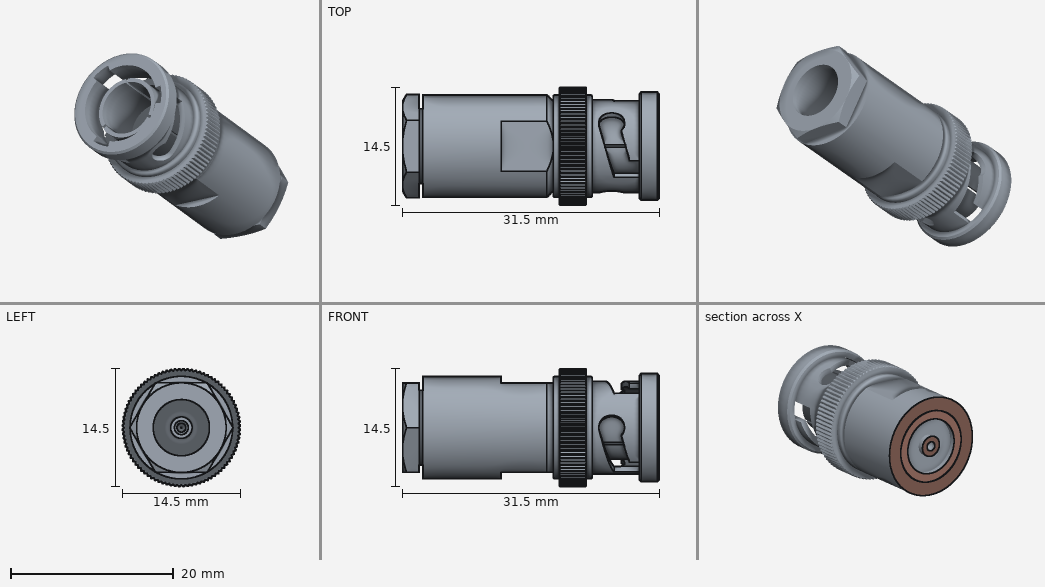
import cadquery as cq
import math

total_length = 31.5

hex_across_flats = 11.0
hex_length = 2.05
hex_chamfer_angle = 30.0
nut_shank_radius = 4.6
nut_bore_radius = 3.46
nut_end = 9.0

body_start = 2.5
body_end = 18.47
body_radius = 6.3
body_chamfer = 0.75
flat_start = 12.1
flat_distance = hex_across_flats / 2
flat_angles = [0, 180]
spigot_end = 22.5

cup_radius = 1.32
cup_start = 7.5
cup_mouth_radius = 0.85
cup_hole_radius = 0.55
cup_depth = 1.2
drill_point_angle = 118.0

tube_radius = 3.9
tube_bore_radius = 3.4
tube_end = 29.95
slit_width = 0.33
slit_start = 23.0
slit_angles = [90, 210, 330]

sleeve_radius = 5.72
sleeve_bore_radius = 5.0
collar_start = body_end
collar_end = 23.3
collar_radius = body_radius
collar_fillet = 0.3
rim_start = 29.05
rim_radius = 6.65
rim_chamfer = 0.25

knurl_start = 19.24
knurl_end = 22.55
knurl_radius = 7.25
knurl_chamfer = 0.12
knurl_teeth = 88
knurl_depth = 0.22
knurl_crest_share = 0.15

seat_angles = [60, 180, 300]
seat_x = 25.67
seat_radius = 1.58
slot_width = 2.45
entry_start_angle = 48.0
entry_end_angle = 72.0
ramp_helix_angle = math.radians(15.0)
ramp_rate = math.degrees(1 / (sleeve_radius * math.tan(ramp_helix_angle)))
ramp_left_x = seat_x - seat_radius / math.cos(ramp_helix_angle)
ramp_width = slot_width / math.cos(ramp_helix_angle)
ramp_run_up = 0.2
seat_tangent_angle = math.degrees(seat_radius * math.sin(ramp_helix_angle) / sleeve_radius)
slot_margin = 0.5


def cylinder(radius, start, end):
    """Cylinder on the connector axis between two X positions."""
    return cq.Workplane("YZ", origin=(start, 0, 0)).circle(radius).extrude(end - start)


def turn(shape, angle):
    """Turn a shape about the connector axis, from +Y toward +Z."""
    return shape.rotate((0, 0, 0), (1, 0, 0), angle)


def make_nut():
    corner_radius = flat_distance / math.cos(math.pi / 6)
    cone_slope = math.tan(math.radians(hex_chamfer_angle))
    chamfer_length = (corner_radius - flat_distance) * cone_slope
    hexagon = cq.Workplane("YZ").polygon(6, 2 * corner_radius).extrude(hex_length)
    chamfer_envelope = cylinder(corner_radius, 0, hex_length).faces("<X").chamfer(
        chamfer_length, corner_radius - flat_distance
    )
    head = hexagon.intersect(chamfer_envelope)
    shank = cylinder(nut_shank_radius, hex_length, nut_end)
    return head.union(shank).cut(cylinder(nut_bore_radius, 0, nut_end))


def make_solder_cup():
    mouth_chamfer = cup_mouth_radius - cup_hole_radius
    point_length = cup_hole_radius / math.tan(math.radians(drill_point_angle / 2))
    hole = (
        cq.Workplane("XY")
        .moveTo(cup_start, 0)
        .lineTo(cup_start, cup_mouth_radius)
        .lineTo(cup_start + mouth_chamfer, cup_hole_radius)
        .lineTo(cup_start + cup_depth, cup_hole_radius)
        .lineTo(cup_start + cup_depth + point_length, 0)
        .close()
        .revolve(360, (0, 0, 0), (1, 0, 0))
    )
    return cylinder(cup_radius, cup_start, nut_end).cut(hole)


def make_body():
    barrel = cylinder(body_radius, body_start, body_end).faces(">X").chamfer(body_chamfer)
    flat_cut = (
        cq.Workplane("XY", origin=(flat_start, 0, flat_distance))
        .box(body_end - flat_start, 2 * body_radius, body_radius, centered=(False, True, False))
    )
    for angle in flat_angles:
        barrel = barrel.cut(turn(flat_cut, angle))
    nut_socket = cylinder(nut_shank_radius, body_start, nut_end)
    spigot = cylinder(sleeve_bore_radius, body_end, spigot_end)
    tube = cylinder(tube_radius, spigot_end, tube_end).cut(
        cylinder(tube_bore_radius, spigot_end, tube_end)
    )
    slit = cq.Workplane("XY", origin=(slit_start, 0, 0)).box(
        tube_end - slit_start, 2 * tube_radius, slit_width, centered=(False, False, True)
    )
    for angle in slit_angles:
        tube = tube.cut(turn(slit, angle))
    return barrel.cut(nut_socket).union(make_solder_cup()).union(spigot).union(tube)


def make_knurl():
    pitch = 2 * math.pi / knurl_teeth
    root_radius = knurl_radius - knurl_depth
    half_crest = knurl_crest_share * pitch / 2
    outline = []
    for tooth in range(knurl_teeth):
        root_angle = math.pi / 2 + tooth * pitch
        crest_angle = root_angle + pitch / 2
        for radius, angle in (
            (root_radius, root_angle),
            (knurl_radius, crest_angle - half_crest),
            (knurl_radius, crest_angle + half_crest),
        ):
            outline.append((radius * math.cos(angle), radius * math.sin(angle)))
    teeth = (
        cq.Workplane("YZ", origin=(knurl_start, 0, 0))
        .polyline(outline)
        .close()
        .extrude(knurl_end - knurl_start)
    )
    envelope = cylinder(knurl_radius, knurl_start, knurl_end).edges().chamfer(knurl_chamfer)
    return teeth.intersect(envelope)


def ring_sector(start, margin, first_angle, last_angle):
    """Sketch straddling the sleeve wall; angles are measured from +Y toward +Z."""
    inner_radius = sleeve_bore_radius - margin
    outer_radius = sleeve_radius + margin

    def point(radius, angle):
        return (radius * math.cos(math.radians(angle)), radius * math.sin(math.radians(angle)))

    middle_angle = (first_angle + last_angle) / 2
    return (
        cq.Workplane("YZ", origin=(start, 0, 0))
        .moveTo(*point(inner_radius, first_angle))
        .lineTo(*point(outer_radius, first_angle))
        .threePointArc(point(outer_radius, middle_angle), point(outer_radius, last_angle))
        .lineTo(*point(inner_radius, last_angle))
        .threePointArc(point(inner_radius, middle_angle), point(inner_radius, first_angle))
        .close()
    )


def make_seat():
    """Round lug seat on +Y, its circumferential width shrinking toward the axis."""
    inner_radius = sleeve_bore_radius - slot_margin
    outer_radius = sleeve_radius + slot_margin
    return (
        cq.Workplane("XZ", origin=(seat_x, inner_radius, 0))
        .ellipse(seat_radius, seat_radius * inner_radius / sleeve_radius)
        .workplane(offset=inner_radius - outer_radius)
        .ellipse(seat_radius, seat_radius * outer_radius / sleeve_radius)
        .loft(ruled=True)
    )


def make_ramp():
    """Helical channel from the seat to the far wall of the entry."""
    start = ramp_left_x - ramp_run_up
    length = seat_x + ramp_width + ramp_run_up - start
    run_up_angle = ramp_rate * ramp_run_up
    sweep = ramp_rate * ramp_width
    profile = ring_sector(start, slot_margin, -sweep - run_up_angle, -run_up_angle)
    helix = profile.twistExtrude(length, ramp_rate * length)
    window = ring_sector(collar_end, slot_margin / 2, seat_tangent_angle, entry_end_angle)
    return helix.intersect(window.extrude(total_length - collar_end))


def make_entry():
    """Straight channel to the mating end, passing under the rim."""
    start = ramp_left_x + ramp_width + entry_start_angle / ramp_rate
    channel = ring_sector(start, slot_margin, entry_start_angle, entry_end_angle)
    return channel.extrude(total_length - start).intersect(
        cylinder(sleeve_radius, start, total_length)
    )


def make_coupling():
    collar = cylinder(collar_radius, collar_start, collar_end).edges().fillet(collar_fillet)
    sleeve = cylinder(sleeve_radius, knurl_start, total_length)
    rim = cylinder(rim_radius, rim_start, total_length).edges().chamfer(rim_chamfer)
    coupling = collar.union(sleeve).union(rim).union(make_knurl())
    coupling = coupling.cut(cylinder(sleeve_bore_radius, collar_start, total_length))
    slot_cutters = [make_seat(), make_ramp(), make_entry()]
    for angle in seat_angles:
        for cutter in slot_cutters:
            coupling = coupling.cut(turn(cutter, angle))
    return coupling


nut = make_nut()
body = make_body()
coupling = make_coupling()

result = cq.Compound.makeCompound([nut.val(), body.val(), coupling.val()])